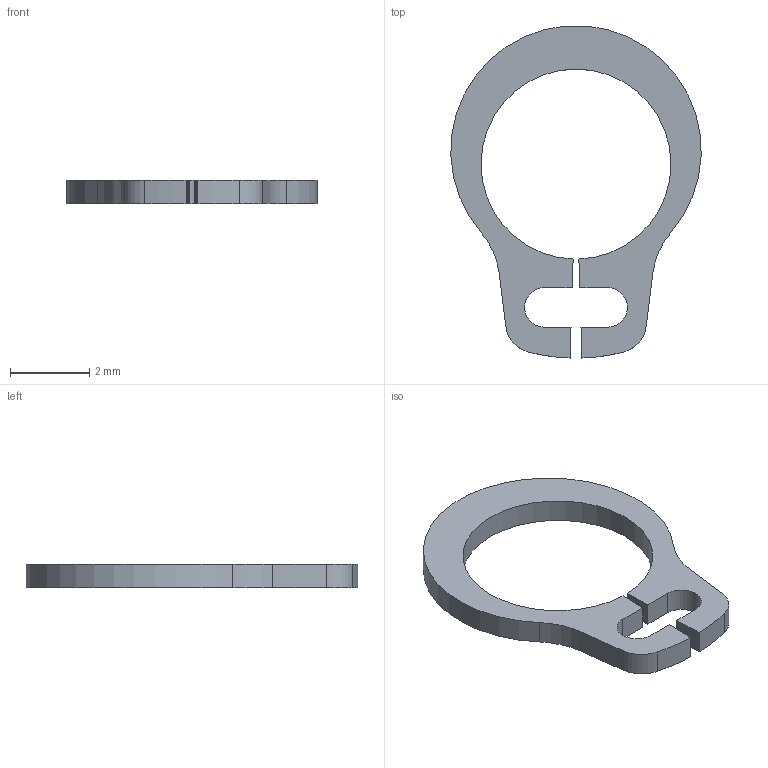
import cadquery as cq
import math

thickness = 0.6
bore_radius = 2.4
rim_radius = 3.165
rim_offset = 0.335

lug_end_radius = 4.9
lug_root_half_width = 2.29
flank_angle = 7.2
neck_radius = 1.9
corner_radius = 0.77

slot_length = 2.6
slot_width = 1.0
slot_y = -3.62
split_half_angle = 1.75


def make_rim():
    """Solid disc bounded by the eccentric rim."""
    return cq.Workplane("XY").center(0, rim_offset).circle(rim_radius).extrude(thickness)


def make_lug():
    """Tapered lug from the bore centre to its rounded end, with its outer corners blended."""
    tip_half_width = lug_root_half_width - lug_end_radius * math.tan(math.radians(flank_angle))
    taper = (
        cq.Workplane("XY")
        .moveTo(-lug_root_half_width, 0)
        .lineTo(lug_root_half_width, 0)
        .lineTo(tip_half_width, -lug_end_radius)
        .lineTo(-tip_half_width, -lug_end_radius)
        .close()
        .extrude(thickness)
    )
    end_disc = cq.Workplane("XY").circle(lug_end_radius).extrude(thickness)
    lug = taper.intersect(end_disc)
    outer_corners = cq.selectors.BoxSelector(
        (-lug_root_half_width, -lug_end_radius, 0),
        (lug_root_half_width, -lug_end_radius / 2, thickness),
    )
    return lug.edges("|Z").edges(outer_corners).fillet(corner_radius)


def make_blank():
    """Rim and lug joined, with the two inside corners of the neck blended."""
    blank = make_rim().union(make_lug())
    neck_corners = cq.selectors.BoxSelector(
        (-rim_radius, slot_y, 0),
        (rim_radius, -bore_radius / 2, thickness),
    )
    return blank.edges("|Z").edges(neck_corners).fillet(neck_radius)


def make_slot():
    """Round-ended slot across the lug."""
    return cq.Workplane("XY").center(0, slot_y).slot2D(slot_length, slot_width).extrude(thickness)


def make_split():
    """Wedge that opens the ring from the bore through the slot to the lug end."""
    wedge_length = lug_end_radius + slot_width
    wedge_half_width = wedge_length * math.tan(math.radians(split_half_angle))
    return (
        cq.Workplane("XY")
        .lineTo(wedge_half_width, -wedge_length)
        .lineTo(-wedge_half_width, -wedge_length)
        .close()
        .extrude(thickness)
    )


bore = cq.Workplane("XY").circle(bore_radius).extrude(thickness)
result = make_blank().cut(bore).cut(make_slot()).cut(make_split())